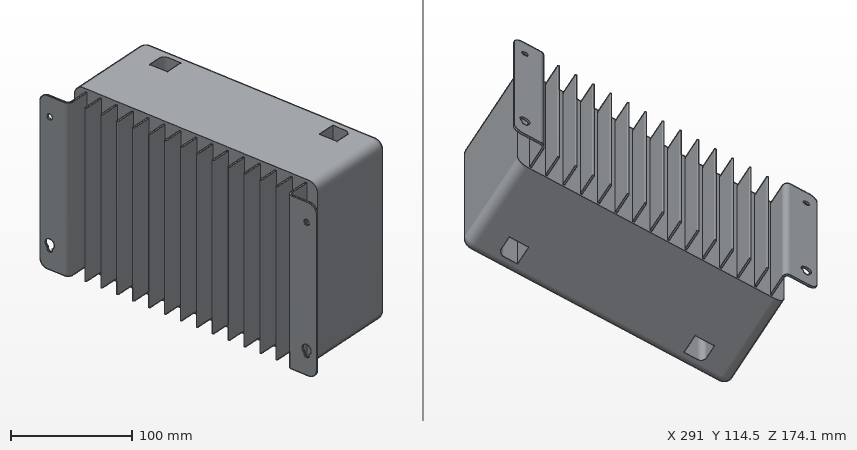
import cadquery as cq

overall_width = 290.99
overall_depth = 114.49
overall_height = 174.12

housing_width = 256.0
housing_depth = 90.5
housing_corner_radius = 9.5
cover_edge_radius = 6.0

window_width = 18.6
window_depth = 18.0
window_center_x = 89.3
window_to_cover_face = 9.5
window_corner_radius = 5.5

fin_count = 13
fin_pitch = 16.75
fin_thickness = 1.7
fin_tip_radius = 0.6
fin_depth = 20.3
heat_sink_height = 167.5

sheet_thickness = 1.7
bracket_inner_x = 114.8
bend_outer_radius = 5.0
foot_corner_radius = 8.0

mount_hole_x = 135.2
mount_hole_z = 64.0
mount_hole_diameter = 5.6
keyhole_head_diameter = 9.6
keyhole_slot_width = 5.4
keyhole_travel = 5.2

mounting_plane_y = housing_depth - overall_depth


def make_housing():
    """Solid block with four rounded corners along Y and a rounded cover edge."""
    block = (
        cq.Workplane("XY")
        .box(housing_width, housing_depth, overall_height)
        .translate((0, housing_depth / 2, 0))
    )
    block = block.edges("|Y").fillet(housing_corner_radius)
    return block.faces(">Y").edges().fillet(cover_edge_radius)


def make_window(side):
    """Through cutter whose outer corner next to the cover face is rounded."""
    center_y = housing_depth - window_to_cover_face - window_depth / 2
    outer_edge = ">X" if side > 0 else "<X"
    return (
        cq.Workplane("XY")
        .box(window_width, window_depth, overall_height)
        .faces(">Y")
        .edges(outer_edge)
        .fillet(window_corner_radius)
        .translate((side * window_center_x, center_y, 0))
    )


def make_fins():
    """Row of equal fins with rounded tips standing on the finned face."""
    return (
        cq.Workplane("XY")
        .center(0, -fin_depth / 2)
        .rarray(fin_pitch, 1, fin_count, 1)
        .rect(fin_thickness, fin_depth)
        .extrude(heat_sink_height / 2, both=True)
        .faces("<Y")
        .edges("|Z")
        .fillet(fin_tip_radius)
    )


def make_foot_cutter():
    """Plain hole at the top and keyhole at the bottom of the +X foot."""
    plane = cq.Workplane("XZ", origin=(0, mounting_plane_y + sheet_thickness, 0))
    slot_end_z = -mount_hole_z
    head_z = slot_end_z + keyhole_travel
    plain_hole = (
        plane.center(mount_hole_x, mount_hole_z)
        .circle(mount_hole_diameter / 2)
        .extrude(sheet_thickness)
    )
    keyhole_head = (
        plane.center(mount_hole_x, head_z)
        .circle(keyhole_head_diameter / 2)
        .extrude(sheet_thickness)
    )
    keyhole_slot = (
        plane.center(mount_hole_x, (head_z + slot_end_z) / 2)
        .slot2D(keyhole_travel + keyhole_slot_width, keyhole_slot_width, 90)
        .extrude(sheet_thickness)
    )
    return plain_hole.union(keyhole_head).union(keyhole_slot)


def make_bracket():
    """Z-long angle of bent sheet on the +X side, its foot pointing outward."""
    foot_tip_x = overall_width / 2
    web_outer_x = bracket_inner_x + sheet_thickness
    foot_top_y = mounting_plane_y + sheet_thickness
    bend_center_x = bracket_inner_x + bend_outer_radius
    bend_center_y = mounting_plane_y + bend_outer_radius
    bend_inner_radius = bend_outer_radius - sheet_thickness

    profile = (
        cq.Workplane("XY")
        .moveTo(bracket_inner_x, 0)
        .lineTo(bracket_inner_x, bend_center_y)
        .radiusArc((bend_center_x, mounting_plane_y), -bend_outer_radius)
        .lineTo(foot_tip_x, mounting_plane_y)
        .lineTo(foot_tip_x, foot_top_y)
        .lineTo(bend_center_x, foot_top_y)
        .radiusArc((web_outer_x, bend_center_y), bend_inner_radius)
        .lineTo(web_outer_x, 0)
        .close()
    )
    bracket = profile.extrude(heat_sink_height / 2, both=True)
    bracket = bracket.faces(">X").edges("|Y").fillet(foot_corner_radius)
    return bracket.cut(make_foot_cutter())


result = make_housing().union(make_fins())
for side in (-1, 1):
    result = result.cut(make_window(side))

right_bracket = make_bracket()
left_bracket = right_bracket.mirror("YZ")
result = result.union(right_bracket).union(left_bracket)